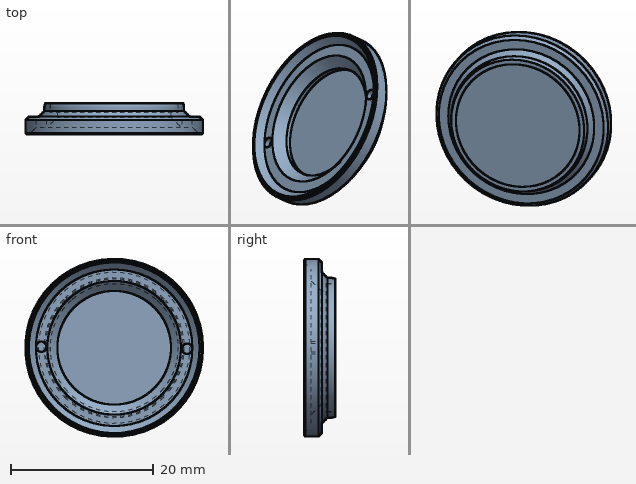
import cadquery as cq
import math

total_depth = 4.4

flange_radius = 12.5
flange_back = 2.5
front_chamfer = 0.2
rear_chamfer = 0.5

neck_radius = 9.85
neck_start = 3.28
cone_base_radius = neck_radius + neck_start - flange_back

taper_start = 3.88
taper_middle = 4.1
taper_end = 4.32
taper_middle_radius = 9.8
taper_end_radius = 9.72
rear_edge_radius = 9.68

mouth_radius = 12.0
ledge_outer_radius = 11.0
ledge_inner_radius = 9.4
bore_radius = 8.0
ledge_depth = mouth_radius - ledge_outer_radius
funnel_end = ledge_depth + ledge_inner_radius - bore_radius

window_radius = 9.0
window_front = 3.1

hole_radius = 0.72
hole_circle_radius = 10.25
hole_depth = 1.0
hole_count = 2
hole_start_angle = -0.8


def make_housing():
    """Turn the housing from its (radius, y) half section."""
    section = [
        (mouth_radius, 0),
        (flange_radius - front_chamfer, 0),
        (flange_radius, front_chamfer),
        (flange_radius, flange_back - rear_chamfer),
        (flange_radius - rear_chamfer, flange_back),
        (cone_base_radius, flange_back),
        (neck_radius, neck_start),
        (neck_radius, taper_start),
        (taper_middle_radius, taper_middle),
        (taper_end_radius, taper_end),
        (rear_edge_radius, total_depth),
        (window_radius, total_depth),
        (window_radius, window_front),
        (bore_radius, window_front),
        (bore_radius, funnel_end),
        (ledge_inner_radius, ledge_depth),
        (ledge_outer_radius, ledge_depth),
    ]
    body = cq.Workplane("XY").polyline(section).close().revolve(360, (0, 0, 0), (0, 1, 0))
    for index in range(hole_count):
        body = body.cut(make_hole(hole_start_angle + index * 360 / hole_count))
    return body


def make_hole(angle_degrees):
    """Cylinder that drills one spanner hole into the ledge."""
    angle = math.radians(angle_degrees)
    center = cq.Vector(
        hole_circle_radius * math.cos(angle),
        ledge_depth,
        hole_circle_radius * math.sin(angle),
    )
    return cq.Solid.makeCylinder(hole_radius, hole_depth, center, cq.Vector(0, 1, 0))


def make_window():
    """Plain disc that fills the rear recess of the housing."""
    return cq.Workplane(
        cq.Solid.makeCylinder(
            window_radius,
            total_depth - window_front,
            cq.Vector(0, window_front, 0),
            cq.Vector(0, 1, 0),
        )
    )


housing = make_housing()
window = make_window()

result = cq.Compound.makeCompound([housing.val(), window.val()])